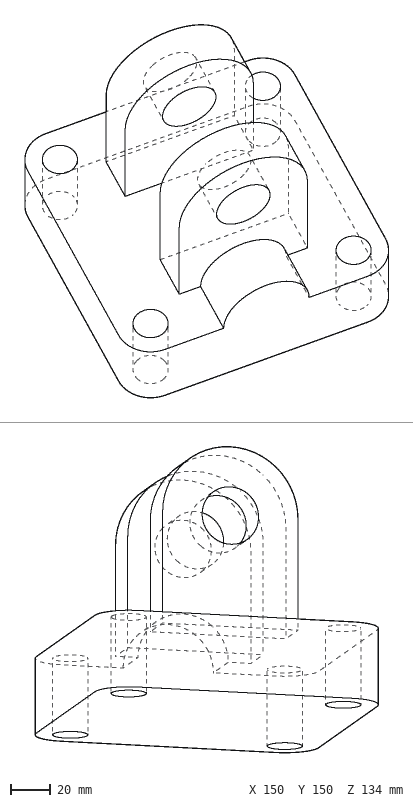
import cadquery as cq

base_side = 150.0
base_height = 40.0
corner_radius = 18.0
bolt_hole_diameter = 18.0
bolt_spacing = base_side - 2 * corner_radius

overall_height = 134.0
lug_radius = 36.0
lug_thickness = 24.0
lug_gap = 44.0
pin_hole_diameter = 30.0
pin_height = overall_height - lug_radius

boss_radius = 24.0
boss_start = lug_gap / 2 + lug_thickness
boss_length = base_side / 2 - boss_start


def make_base():
    """Square plate with rounded corners and four through bolt holes."""
    plate = cq.Workplane("XY").rect(base_side, base_side).extrude(base_height)
    plate = plate.edges("|Z").fillet(corner_radius)
    return (
        plate.faces(">Z")
        .workplane(origin=(0, 0, base_height))
        .rect(bolt_spacing, bolt_spacing, forConstruction=True)
        .vertices()
        .hole(bolt_hole_diameter)
    )


def make_lug(start_x):
    """Upright round-topped lug with a pin hole, from start_x towards +X."""
    lug_plane = cq.Workplane("YZ", origin=(start_x, 0, 0))
    lug = (
        lug_plane.moveTo(-lug_radius, base_height)
        .lineTo(-lug_radius, pin_height)
        .threePointArc((0, overall_height), (lug_radius, pin_height))
        .lineTo(lug_radius, base_height)
        .close()
        .extrude(lug_thickness)
    )
    pin_hole = lug_plane.center(0, pin_height).circle(pin_hole_diameter / 2).extrude(lug_thickness)
    return lug.cut(pin_hole)


def make_boss():
    """Half cylinder along X with its flat side on the base top."""
    return (
        cq.Workplane("YZ", origin=(boss_start, 0, 0))
        .moveTo(-boss_radius, base_height)
        .threePointArc((0, base_height + boss_radius), (boss_radius, base_height))
        .close()
        .extrude(boss_length)
    )


result = make_base()
for lug_start in (-lug_gap / 2 - lug_thickness, lug_gap / 2):
    result = result.union(make_lug(lug_start))
result = result.union(make_boss())